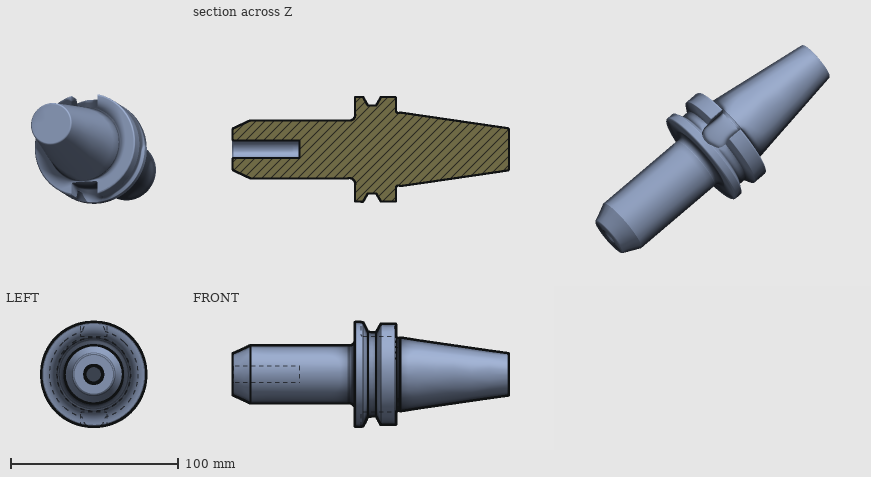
import cadquery as cq
import math


nose_x = -100.0
nose_radius = 25.0 / 2
nose_cone_angle = 25.0
nose_edge_round = 1.0
shank_radius = 35.0 / 2
relief_radius = 34.8 / 2
relief_length = 1.0
relief_lead_in = 0.4
bore_radius = 10.0 / 2
bore_depth = 40.0
bore_chamfer = 0.7

flange_radius = 63.0 / 2
flange_front_x = -27.0
flange_rear_x = -2.0
flange_edge_round = 1.0

groove_center_x = -16.55
groove_floor_width = 4.9
groove_floor_radius = 53.0 / 2
groove_half_angle = 30.0
groove_edge_round = 0.5
groove_flank_length = (flange_radius - groove_floor_radius) * math.tan(math.radians(groove_half_angle))
groove_edge_offset = groove_floor_width / 2 + groove_flank_length

recess_depth = 0.3
recess_radius = 43.79 / 2
shank_root_radius = 3.3

gauge_radius = 44.45 / 2
taper_length = 65.4
taper_slope = 7.0 / 48
taper_end_round = 1.0
neck_radius = 43.79 / 2
neck_root_round = 1.0
neck_end_x = -0.1
taper_start_x = 0.35

slot_width = 16.1
slot_floor_height = 22.6
slot_end_x = -23.0
slot_floor_round = 1.0
slot_mouth_chamfer = 0.4

cut_clearance = 1.0
tolerance = 1e-3


def taper_radius(x):
    return gauge_radius - taper_slope * x


def turned_profile():
    cone_length = (shank_radius - nose_radius) / math.tan(math.radians(nose_cone_angle))
    recess_floor_x = flange_front_x + recess_depth
    root_start_x = recess_floor_x - shank_root_radius
    root_end_radius = relief_radius + shank_root_radius
    root_mid_offset = shank_root_radius * math.sin(math.radians(45))
    root_mid_x = root_start_x + root_mid_offset
    root_mid_radius = root_end_radius - root_mid_offset
    relief_start_x = root_start_x - relief_length

    groove_front_x = groove_center_x - groove_floor_width / 2
    groove_rear_x = groove_center_x + groove_floor_width / 2

    return (
        cq.Workplane("XY")
        .moveTo(nose_x, 0)
        .lineTo(nose_x, nose_radius)
        .lineTo(nose_x + cone_length, shank_radius)
        .lineTo(relief_start_x, shank_radius)
        .lineTo(relief_start_x + relief_lead_in, relief_radius)
        .lineTo(root_start_x, relief_radius)
        .threePointArc((root_mid_x, root_mid_radius), (recess_floor_x, root_end_radius))
        .lineTo(flange_front_x, recess_radius)
        .lineTo(flange_front_x, flange_radius)
        .lineTo(groove_center_x - groove_edge_offset, flange_radius)
        .lineTo(groove_front_x, groove_floor_radius)
        .lineTo(groove_rear_x, groove_floor_radius)
        .lineTo(groove_center_x + groove_edge_offset, flange_radius)
        .lineTo(flange_rear_x, flange_radius)
        .lineTo(flange_rear_x, neck_radius)
        .lineTo(neck_end_x, neck_radius)
        .lineTo(taper_start_x, taper_radius(taper_start_x))
        .lineTo(taper_length, taper_radius(taper_length))
        .lineTo(taper_length, 0)
        .close()
    )


def round_rim(body, x, radius, fillet_radius):
    """Fillet the circular edge of the given radius that lies at position x."""
    rims = [
        edge
        for edge in body.edges("%CIRCLE").vals()
        if abs(edge.Center().x - x) < tolerance and abs(edge.radius() - radius) < tolerance
    ]
    return body.newObject(rims).fillet(fillet_radius)


def drive_slot(side):
    """Cutter for one drive slot; side is +1 for the +Z slot and -1 for the -Z slot."""
    slot_radius = slot_width / 2
    arc_center_x = slot_end_x + slot_radius
    open_end_x = taper_length + cut_clearance
    cutter = (
        cq.Workplane("XY")
        .workplane(offset=side * slot_floor_height)
        .moveTo(open_end_x, slot_radius)
        .lineTo(arc_center_x, slot_radius)
        .threePointArc((slot_end_x, 0), (arc_center_x, -slot_radius))
        .lineTo(open_end_x, -slot_radius)
        .close()
        .extrude(side * (flange_radius + cut_clearance - slot_floor_height))
    )
    floor = "<Z" if side > 0 else ">Z"
    return cutter.faces(floor).edges("not >X").fillet(slot_floor_round)


def break_slot_mouths(body):
    """Chamfer the edges where the slot walls meet the outside of the flange."""
    mouth_edges = []
    for edge in body.edges("not %CIRCLE").vals():
        points = [edge.positionAt(fraction) for fraction in (0, 0.5, 1)]
        in_slot = all(abs(point.y) < slot_width / 2 + tolerance for point in points)
        on_flange = all(abs(math.hypot(point.y, point.z) - flange_radius) < tolerance for point in points)
        if in_slot and on_flange:
            mouth_edges.append(edge)
    return body.newObject(mouth_edges).chamfer(slot_mouth_chamfer)


def nose_bore():
    """Cutter for the tool bore with its chamfered mouth."""
    return (
        cq.Workplane("XY")
        .moveTo(nose_x, 0)
        .lineTo(nose_x, bore_radius + bore_chamfer)
        .lineTo(nose_x + bore_chamfer, bore_radius)
        .lineTo(nose_x + bore_depth, bore_radius)
        .lineTo(nose_x + bore_depth, 0)
        .close()
        .revolve(360, (0, 0), (1, 0))
    )


result = turned_profile().revolve(360, (0, 0), (1, 0))

for side in (1, -1):
    result = result.cut(drive_slot(side))
result = break_slot_mouths(result)
result = result.cut(nose_bore())

result = round_rim(result, nose_x, nose_radius, nose_edge_round)
result = round_rim(result, flange_front_x, flange_radius, flange_edge_round)
result = round_rim(result, flange_rear_x, flange_radius, flange_edge_round)
for direction in (-1, 1):
    groove_edge_x = groove_center_x + direction * groove_edge_offset
    result = round_rim(result, groove_edge_x, flange_radius, groove_edge_round)
result = round_rim(result, flange_rear_x, neck_radius, neck_root_round)
result = round_rim(result, taper_length, taper_radius(taper_length), taper_end_round)